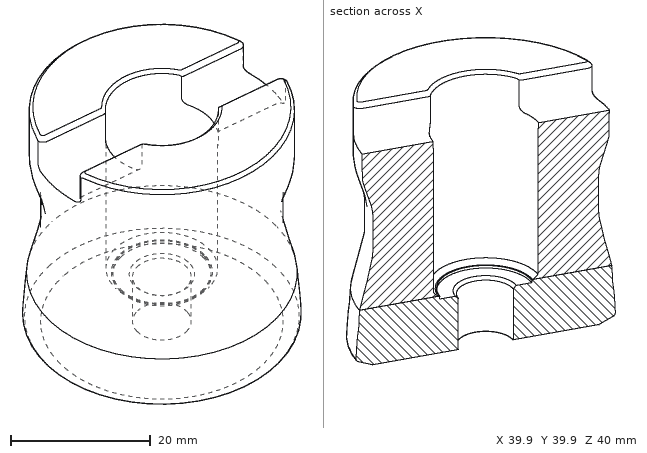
import cadquery as cq

TOTAL_HEIGHT = 40.0
SPLIT_Z = 9.15
SLOT_DEPTH = 5.65
SLOT_FLOOR_Z = TOTAL_HEIGHT - SLOT_DEPTH

HEAD_RADIUS = 38.0 / 2
NECK_RADIUS = 34.75 / 2
JOINT_RADIUS = 38.75 / 2
HEAD_CORNER_Z = 30.1
NECK_TOP_Z = 24.95
NECK_BOTTOM_Z = 17.7
SKIRT_END_Z = 10.25
SKIRT_END_RADIUS = 19.15
FOOT_BULGE = 0.02
WAIST_BLEND = 5.0

SLOT_WIDTH = 8.55
WALL_ROUNDING = 1.1
FLOOR_FILLET = 0.8
CUT_MARGIN = 3.2
RIM_CHAMFER = 0.5
WALL_CHAMFER = 0.7

MOUTH_RADIUS = 16.2 / 2
MOUTH_DEPTH = 5.8
BORE_RADIUS = 16.0 / 2
BORE_LEAD_IN = 1.2
BORE_EXIT_RADIUS = 7.25

BASE_RADIUS = 19.95
BASE_FACE_RADIUS = 34.75 / 2
RECESS_RADIUS = 14.1 / 2
RECESS_DEPTH = 0.4
HOLE_RADIUS = 8.4 / 2
HOLE_CHAMFER = 0.5
BASE_RIM_Z = 8.7
BASE_RIM_RADIUS = 19.45
TAPER_END_Z = 4.35
TAPER_END_RADIUS = 19.8
BLEND_END_Z = 3.55
BLEND_END_RADIUS = 19.85
BAND_TOP_Z = 3.25
BAND_TOP_RADIUS = 19.9
BAND_BOTTOM_Z = 1.6
TOE_MIDDLE_Z = 1.2
TOE_MIDDLE_RADIUS = 19.9
TOE_Z = 0.95
TOE_RADIUS = 19.7


def revolve_profile(profile):
    """Turn a closed (radius, height) profile around the Z axis."""
    return profile.close().revolve(360, (0, 0, 0), (0, 1, 0))


def cylinder(radius, bottom_z, top_z):
    return cq.Workplane("XY").workplane(offset=bottom_z).circle(radius).extrude(top_z - bottom_z)


def housing_blank():
    """Solid waisted body without slot or bore."""
    foot_middle_radius = (SKIRT_END_RADIUS + JOINT_RADIUS) / 2 + FOOT_BULGE
    foot_middle_z = (SKIRT_END_Z + SPLIT_Z) / 2
    blank = revolve_profile(
        cq.Workplane("XZ")
        .moveTo(0, SPLIT_Z)
        .lineTo(JOINT_RADIUS, SPLIT_Z)
        .threePointArc((foot_middle_radius, foot_middle_z), (SKIRT_END_RADIUS, SKIRT_END_Z))
        .lineTo(NECK_RADIUS, NECK_BOTTOM_Z)
        .lineTo(NECK_RADIUS, NECK_TOP_Z)
        .lineTo(HEAD_RADIUS, HEAD_CORNER_Z)
        .lineTo(HEAD_RADIUS, TOTAL_HEIGHT)
        .lineTo(0, TOTAL_HEIGHT)
    )
    waist_corners = blank.edges("%CIRCLE").filter(
        lambda edge: NECK_BOTTOM_Z <= round(edge.Center().z, 3) <= HEAD_CORNER_Z
    )
    return waist_corners.fillet(WAIST_BLEND)


def rounded_tangs():
    """Two head segments beside the slot, a little oversize at the rim and at the bore mouth.

    The even chamfer runs right around each tang. The excess lies outside the head and
    inside the bore, so the chamfer left there is smaller than on the slot walls.
    """
    excess = WALL_CHAMFER - RIM_CHAMFER
    slot_length = 2 * HEAD_RADIUS + CUT_MARGIN
    slot_plane = cq.Workplane("XY").workplane(offset=SLOT_FLOOR_Z)
    slot = slot_plane.rect(SLOT_WIDTH, slot_length).extrude(SLOT_DEPTH)
    tangs = cylinder(HEAD_RADIUS + excess, SLOT_FLOOR_Z, TOTAL_HEIGHT).cut(slot)
    tangs = tangs.cut(cylinder(MOUTH_RADIUS - excess, SLOT_FLOOR_Z, TOTAL_HEIGHT))
    tangs = tangs.edges("|Z").fillet(WALL_ROUNDING)
    return tangs.faces(">Z").edges().chamfer(WALL_CHAMFER)


def head_cutter():
    """Everything around the two tangs, with the fillet along their feet."""
    tangs = rounded_tangs()
    surround_radius = HEAD_RADIUS + CUT_MARGIN
    surround = cylinder(surround_radius, SLOT_FLOOR_Z, TOTAL_HEIGHT).cut(tangs)
    slot_walls = surround.faces("<Z").edges("%LINE")
    return slot_walls.fillet(FLOOR_FILLET)


def bore():
    """Stepped bore through the whole housing."""
    mouth_z = TOTAL_HEIGHT - MOUTH_DEPTH
    exit_cone_z = SPLIT_Z + BORE_RADIUS - BORE_EXIT_RADIUS
    return revolve_profile(
        cq.Workplane("XZ")
        .moveTo(0, TOTAL_HEIGHT)
        .lineTo(MOUTH_RADIUS, TOTAL_HEIGHT)
        .lineTo(MOUTH_RADIUS, mouth_z)
        .lineTo(BORE_RADIUS, mouth_z - BORE_LEAD_IN)
        .lineTo(BORE_RADIUS, exit_cone_z)
        .lineTo(BORE_EXIT_RADIUS, SPLIT_Z)
        .lineTo(0, SPLIT_Z)
    )


def make_housing():
    """Waisted housing with a driving slot across its head and a central bore."""
    return housing_blank().cut(head_cutter()).cut(bore())


def make_base():
    """Round base with a shallow recess and a chamfered through hole."""
    recess_z = SPLIT_Z - RECESS_DEPTH
    return revolve_profile(
        cq.Workplane("XZ")
        .moveTo(HOLE_RADIUS, 0)
        .lineTo(BASE_FACE_RADIUS, 0)
        .lineTo(TOE_RADIUS, TOE_Z)
        .threePointArc((TOE_MIDDLE_RADIUS, TOE_MIDDLE_Z), (BASE_RADIUS, BAND_BOTTOM_Z))
        .lineTo(BAND_TOP_RADIUS, BAND_TOP_Z)
        .lineTo(BLEND_END_RADIUS, BLEND_END_Z)
        .lineTo(TAPER_END_RADIUS, TAPER_END_Z)
        .lineTo(BASE_RIM_RADIUS, BASE_RIM_Z)
        .lineTo(JOINT_RADIUS, SPLIT_Z)
        .lineTo(RECESS_RADIUS, SPLIT_Z)
        .lineTo(RECESS_RADIUS, recess_z)
        .lineTo(HOLE_RADIUS + HOLE_CHAMFER, recess_z)
        .lineTo(HOLE_RADIUS, recess_z - HOLE_CHAMFER)
    )


housing = make_housing()
base = make_base()
result = cq.Compound.makeCompound([housing.solids().val(), base.val()])